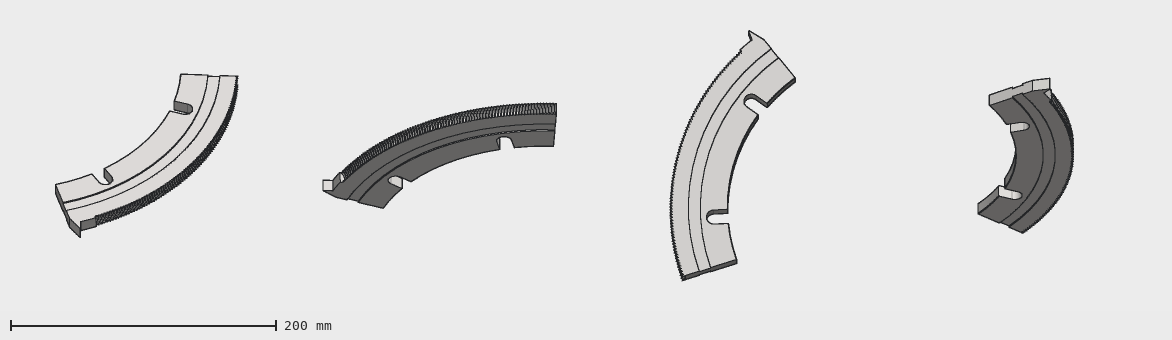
import cadquery as cq
import math

thickness = 9.5
inner_radius = 130.7
outer_radius = 175.0
sector_angle = 70.8
inner_chamfer = 0.5

recess_inner_radius = 151.4
recess_outer_radius = 160.4
recess_depth = 1.2

slot_width = 11.2
slot_end_radius = 147.0
slot_half_spacing = 20

tongue_start_x = 169.3
tongue_tip_x = 181.8
tongue_tip_low_y = 4.5
tongue_tip_high_y = 5.0
tongue_root_y = 7.0

teeth_per_turn = 470
first_groove_angle = 6.8
worm_axis_radius = 176.7
groove_bottom_radius = 5.9
groove_depth = 0.5
groove_tilt = 5
groove_overlap = 1.1

pitch_angle = 360 / teeth_per_turn
groove_count = math.ceil((sector_angle - first_groove_angle) / pitch_angle) + 1
half_thickness = thickness / 2


def sector_plate():
    """Ring sector with chamfered bore edges, turned from its radial section."""
    section = (
        cq.Workplane("XZ")
        .moveTo(inner_radius + inner_chamfer, -half_thickness)
        .lineTo(outer_radius, -half_thickness)
        .lineTo(outer_radius, half_thickness)
        .lineTo(inner_radius + inner_chamfer, half_thickness)
        .lineTo(inner_radius, half_thickness - inner_chamfer)
        .lineTo(inner_radius, inner_chamfer - half_thickness)
        .close()
    )
    return section.revolve(sector_angle, (0, 0, 0), (0, 1, 0))


def corner_relief():
    """Wedge-shaped cutter that slopes the end face up to the tongue tip."""
    return (
        cq.Workplane("XY")
        .moveTo(tongue_start_x, 0)
        .lineTo(tongue_tip_x, 0)
        .lineTo(tongue_tip_x, tongue_tip_low_y)
        .close()
        .extrude(half_thickness, both=True)
    )


def ring_recess(side):
    """Cutter for the ring recess on the top (side = 1) or bottom (side = -1)."""
    return (
        cq.Workplane("XY", origin=(0, 0, side * half_thickness))
        .circle(recess_outer_radius)
        .circle(recess_inner_radius)
        .extrude(-side * recess_depth)
    )


def radial_slot(angle):
    """Cutter for a round-ended slot reaching out from inside the bore."""
    end_center = slot_end_radius - slot_width / 2
    length = end_center - inner_radius + slot_width
    straight = (
        cq.Workplane("XY")
        .center(end_center - length / 2, 0)
        .rect(length, slot_width)
        .extrude(half_thickness, both=True)
    )
    round_end = (
        cq.Workplane("XY")
        .center(end_center, 0)
        .circle(slot_width / 2)
        .extrude(half_thickness, both=True)
    )
    return straight.union(round_end).rotate((0, 0, 0), (0, 0, 1), angle)


def corner_tongue():
    """Pointed tongue through the full thickness."""
    return (
        cq.Workplane("XY")
        .moveTo(tongue_start_x, 0)
        .lineTo(tongue_tip_x, tongue_tip_low_y)
        .lineTo(tongue_tip_x, tongue_tip_high_y)
        .lineTo(outer_radius, tongue_root_y)
        .lineTo(tongue_start_x, tongue_root_y)
        .close()
        .extrude(half_thickness, both=True)
    )


def worm_groove(angle):
    """Disc with a V-shaped rim that cuts one worm tooth gap."""
    half_pitch = worm_axis_radius * math.radians(pitch_angle) / 2
    half_width = groove_overlap * half_pitch
    shoulder_radius = groove_bottom_radius - groove_overlap * groove_depth
    disc = (
        cq.Workplane("XY")
        .moveTo(0, -half_width)
        .lineTo(shoulder_radius, -half_width)
        .lineTo(groove_bottom_radius, 0)
        .lineTo(shoulder_radius, half_width)
        .lineTo(0, half_width)
        .close()
        .revolve(360, (0, 0, 0), (0, 1, 0))
    )
    return (
        disc.rotate((0, 0, 0), (1, 0, 0), groove_tilt)
        .translate((worm_axis_radius, 0, 0))
        .rotate((0, 0, 0), (0, 0, 1), angle)
        .val()
    )


result = sector_plate().cut(corner_relief()).union(corner_tongue())

for side in (1, -1):
    result = result.cut(ring_recess(side))

for offset in (-slot_half_spacing, slot_half_spacing):
    result = result.cut(radial_slot(sector_angle / 2 + offset))

for first_groove in (0, 1):
    discs = [
        worm_groove(first_groove_angle + index * pitch_angle)
        for index in range(first_groove, groove_count, 2)
    ]
    result = result.cut(cq.Workplane(cq.Compound.makeCompound(discs)), clean=False)